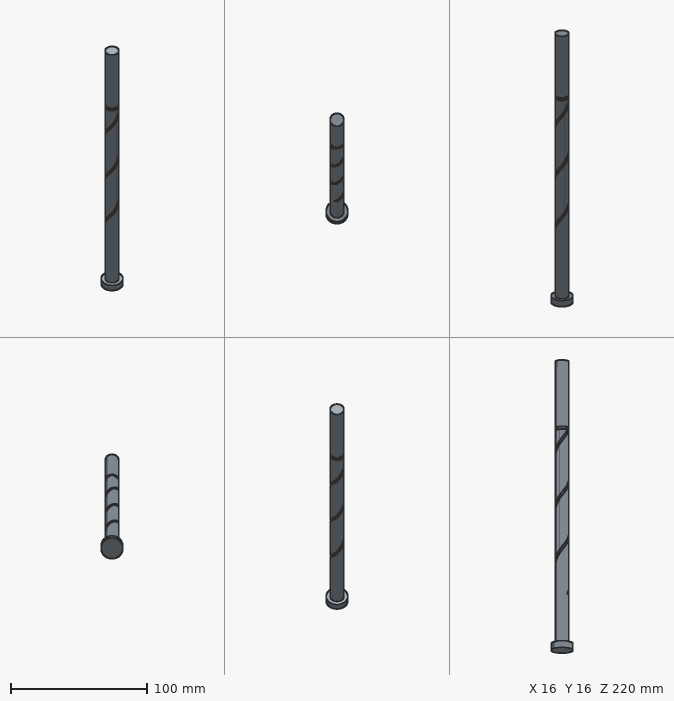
import cadquery as cq
import math

total_length = 220.0
head_diameter = 16.0
head_height = 5.0
shaft_diameter = 10.1
shaft_radius = shaft_diameter / 2

ring_top = 169.5
ring_width = 2.0
ring_depth = 0.9
ring_bottom = ring_top - ring_width

turns = 3
pitch = 41.5
helix_height = turns * pitch
helix_bottom = ring_bottom - helix_height
helix_groove_width = 1.5


def make_body():
    head = cq.Workplane("XY").circle(head_diameter / 2).extrude(head_height)
    shaft = cq.Workplane("XY").circle(shaft_radius).extrude(total_length)
    return head.union(shaft)


def make_ring_cutter():
    return (
        cq.Workplane("XY", origin=(0, 0, ring_bottom))
        .circle(head_diameter / 2)
        .circle(shaft_radius - ring_depth)
        .extrude(ring_width)
    )


def make_helix_cutter():
    """Round cutter centred on the shaft surface, starting and ending on the +Y side."""
    path = cq.Wire.makeHelix(pitch, helix_height, shaft_radius)
    climb = pitch / (2 * math.pi)
    path_direction = cq.Vector(0, shaft_radius, climb)
    start_point = (shaft_radius, 0, 0)
    profile_plane = cq.Plane(origin=start_point, xDir=(1, 0, 0), normal=path_direction)
    cutter = (
        cq.Workplane(profile_plane)
        .circle(helix_groove_width / 2)
        .sweep(cq.Workplane(obj=path), isFrenet=True)
    )
    return cutter.rotate((0, 0, 0), (0, 0, 1), 90).translate((0, 0, helix_bottom))


result = make_body().cut(make_helix_cutter()).cut(make_ring_cutter())